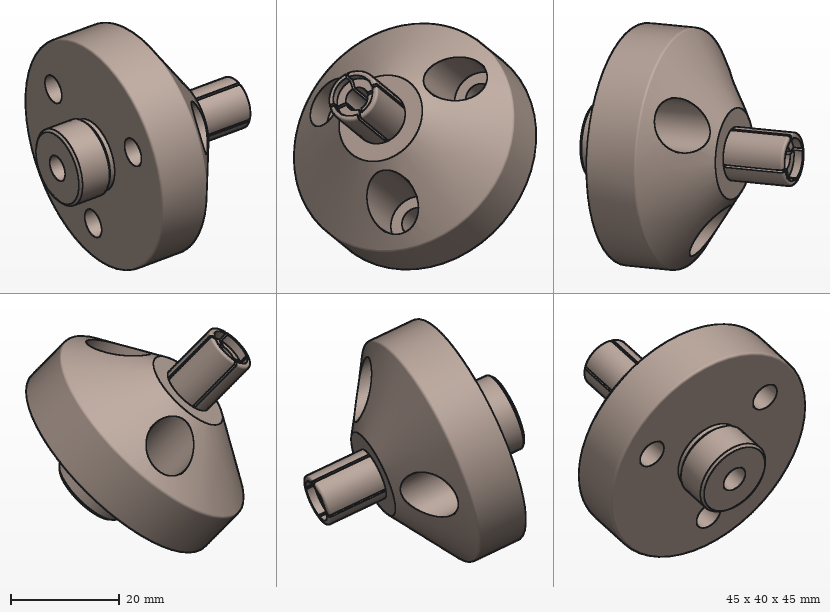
import cadquery as cq
import math


flange_radius = 22.5
flange_thickness = 10.0
housing_height = 20.0
cone_top_radius = 8.5
flange_edge_radius = 0.5

spigot_radius = 7.5
spigot_length = 8.0
undercut_radius = 7.0
undercut_width = 1.0
spigot_chamfer = 0.5
housing_bore_diameter = 5.0

mount_circle_radius = 15.0
mount_hole_diameter = 5.5
counterbore_diameter = 10.0
counterbore_floor = 5.0
mount_hole_angles = [30, 150, 270]

sleeve_diameter = 10.0
sleeve_bottom = flange_thickness
sleeve_top = 32.0
sleeve_bore_diameter = 4.5
sleeve_tip_radius = 0.5
tip_counterbore_diameter = 8.0
tip_counterbore_depth = 1.7
slot_width = 0.5
slot_start_angle = 74.3
slot_count = 4


def cylinder_y(diameter, bottom, top, x=0.0, z=0.0):
    """Solid cylinder along +Y, from Y = bottom to Y = top."""
    return cq.Workplane(cq.Solid.makeCylinder(
        diameter / 2, top - bottom, cq.Vector(x, bottom, z), cq.Vector(0, 1, 0)))


def housing_blank():
    """Revolved flange, cone and spigot, with the flange edges rounded."""
    shoulder_start = undercut_width + (spigot_radius - undercut_radius)
    blank = (
        cq.Workplane("XY")
        .moveTo(0, -spigot_length)
        .lineTo(spigot_radius - spigot_chamfer, -spigot_length)
        .lineTo(spigot_radius, -spigot_length + spigot_chamfer)
        .lineTo(spigot_radius, -shoulder_start)
        .lineTo(undercut_radius, -undercut_width)
        .lineTo(undercut_radius, 0)
        .lineTo(flange_radius, 0)
        .lineTo(flange_radius, flange_thickness)
        .lineTo(cone_top_radius, housing_height)
        .lineTo(0, housing_height)
        .close()
        .revolve(360, (0, 0, 0), (0, 1, 0))
    )
    rim_edges = cq.selectors.RadiusNthSelector(-1)
    return blank.edges(rim_edges).fillet(flange_edge_radius)


def mount_hole_cutter(angle):
    """Counterbored through hole on the mounting circle; the angle runs from +X toward +Z."""
    x = mount_circle_radius * math.cos(math.radians(angle))
    z = mount_circle_radius * math.sin(math.radians(angle))
    hole = cylinder_y(mount_hole_diameter, 0, housing_height, x, z)
    counterbore = cylinder_y(counterbore_diameter, counterbore_floor, housing_height, x, z)
    return hole.union(counterbore)


def make_housing():
    """Flanged body with its through bore, sleeve seat and mounting holes."""
    housing = housing_blank()
    housing = housing.cut(cylinder_y(housing_bore_diameter, -spigot_length, housing_height))
    housing = housing.cut(cylinder_y(sleeve_diameter, sleeve_bottom, housing_height))
    for angle in mount_hole_angles:
        housing = housing.cut(mount_hole_cutter(angle))
    return housing


def make_sleeve():
    """Bored sleeve, counterbored at the tip and slotted where it stands clear of the housing."""
    sleeve = cylinder_y(sleeve_diameter, sleeve_bottom, sleeve_top)
    sleeve = sleeve.faces(">Y").edges().fillet(sleeve_tip_radius)
    sleeve = sleeve.cut(cylinder_y(sleeve_bore_diameter, sleeve_bottom, sleeve_top))
    tip_counterbore_floor = sleeve_top - tip_counterbore_depth
    sleeve = sleeve.cut(cylinder_y(tip_counterbore_diameter, tip_counterbore_floor, sleeve_top))
    slot_length = sleeve_top - housing_height
    slot = (
        cq.Workplane("XY")
        .box(sleeve_diameter, slot_length, slot_width, centered=(False, False, True))
        .translate((0, housing_height, 0))
    )
    for index in range(slot_count):
        angle = -(slot_start_angle + index * 360 / slot_count)
        sleeve = sleeve.cut(slot.rotate((0, 0, 0), (0, 1, 0), angle))
    return sleeve


housing = make_housing()
sleeve = make_sleeve()
result = cq.Compound.makeCompound([housing.val(), sleeve.val()])